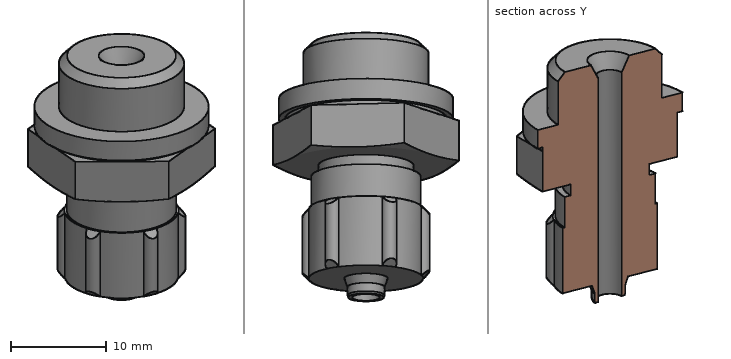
import cadquery as cq
import math

tip_edge_top = 0.22
tip_top = 1.12
nut_bottom = 2.05
nut_top = 9.52
collar_top = 13.0
hex_bottom = 14.2
hex_top = 18.82
flange_bottom = 19.23
flange_top = 21.4
total_height = 27.2

tip_diameter = 3.9
tip_root_diameter = 4.57
nut_diameter = 11.97
collar_diameter = 11.5
neck_diameter = 10.0
hex_flats = 17.0
flange_diameter = 18.3
plug_diameter = 13.16
bore_diameter = 2.9
countersink_diameter = 4.8

tip_chamfer = 0.08
plug_chamfer = 0.87
countersink_depth = 1.7
hex_chamfer_height = 0.33

rib_count = 6
rib_radius = 0.8
rib_reach = 6.72
rib_chamfer = 0.7


def cylinder(diameter, bottom, top):
    return cq.Workplane("XY").workplane(offset=bottom).circle(diameter / 2).extrude(top - bottom)


def cone(bottom_diameter, top_diameter, bottom, top):
    return (
        cq.Workplane("XY").workplane(offset=bottom).circle(bottom_diameter / 2)
        .workplane(offset=top - bottom).circle(top_diameter / 2).loft(ruled=True)
    )


def hexagon():
    """Hexagon with flats facing +X and -X and its lower corners cut by a cone."""
    corner_diameter = hex_flats / math.cos(math.pi / 6)
    prism = (
        cq.Workplane("XY").workplane(offset=hex_bottom).polygon(6, corner_diameter)
        .extrude(hex_top - hex_bottom).rotate((0, 0, 0), (0, 0, 1), 30)
    )
    chamfer_top = hex_bottom + hex_chamfer_height
    envelope = cone(hex_flats, corner_diameter, hex_bottom, chamfer_top)
    envelope = envelope.union(cylinder(corner_diameter, chamfer_top, hex_top))
    return prism.intersect(envelope)


def nut():
    """Round nut with half-round grip ribs, bevelled at both ends."""
    body = cylinder(nut_diameter, nut_bottom, nut_top)
    ribs = (
        cq.Workplane("XY").workplane(offset=nut_bottom)
        .polarArray(rib_reach - rib_radius, 90, 360, rib_count)
        .circle(rib_radius).extrude(nut_top - nut_bottom)
    )
    bevelled_envelope = cylinder(2 * rib_reach, nut_bottom, nut_top).edges().chamfer(rib_chamfer)
    return body.union(ribs.intersect(bevelled_envelope))


def tip():
    """Small spigot with a broken end edge, flaring where it meets the nut."""
    edge = cone(tip_diameter - 2 * tip_chamfer, tip_diameter, 0, tip_edge_top)
    shank = cylinder(tip_diameter, tip_edge_top, tip_top)
    flare = cone(tip_diameter, tip_root_diameter, tip_top, nut_bottom)
    return edge.union(shank).union(flare)


def plug():
    return cylinder(plug_diameter, flange_top, total_height).faces(">Z").edges().chamfer(plug_chamfer)


collar = cylinder(collar_diameter, nut_top, collar_top)
neck = cylinder(neck_diameter, collar_top, hex_bottom)
flange_seat = cylinder(hex_flats, hex_top, flange_bottom)
flange = cylinder(flange_diameter, flange_bottom, flange_top)
bore = cylinder(bore_diameter, 0, total_height)
countersink = cone(bore_diameter, countersink_diameter, total_height - countersink_depth, total_height)

result = tip()
for section in (nut(), collar, neck, hexagon(), flange_seat, flange, plug()):
    result = result.union(section)
result = result.cut(bore).cut(countersink)